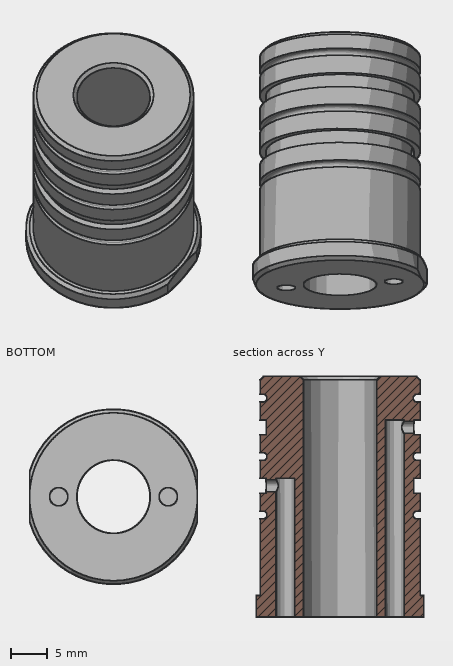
import cadquery as cq

length = 33.0
body_diameter = 22.0
bore_diameter = 10.0
edge_chamfer = 0.5

flange_diameter = 24.0
flange_height = 3.0
flange_across_flats = 23.0

wide_groove_floor_diameter = 20.3
wide_groove_width = 2.0
wide_groove_depths = (7.0, 15.0)
ring_groove_floor_diameter = 20.1
ring_groove_width = 1.0
ring_groove_depths = (3.0, 11.0, 19.0)

port_diameter = 1.6
channel_diameter = 2.5
channel_offset = 7.5
port_directions = (1, -1)

body_radius = body_diameter / 2


def make_flange():
    """Chamfered disc with two parallel flats facing -X and +X."""
    disc = cq.Workplane("XY").circle(flange_diameter / 2).extrude(flange_height)
    disc = disc.edges().chamfer(edge_chamfer)
    flats = cq.Workplane("XY").rect(flange_across_flats, flange_diameter).extrude(flange_height)
    return disc.intersect(flats)


def make_body():
    """Plain cylinder with a chamfered top rim."""
    body = cq.Workplane("XY").circle(body_radius).extrude(length)
    return body.faces(">Z").edges().chamfer(edge_chamfer)


def make_bore():
    """Through bore with a countersunk top mouth."""
    bore_radius = bore_diameter / 2
    mouth_radius = bore_radius + edge_chamfer
    return (
        cq.Workplane("XZ")
        .moveTo(0, 0)
        .lineTo(bore_radius, 0)
        .lineTo(bore_radius, length - edge_chamfer)
        .lineTo(mouth_radius, length)
        .lineTo(0, length)
        .close()
        .revolve(360, (0, 0, 0), (0, 1, 0))
    )


def make_wide_groove(centre_height):
    """Ring-shaped cutter with a flat floor."""
    outer_radius = flange_diameter / 2
    return (
        cq.Workplane("XY")
        .workplane(offset=centre_height - wide_groove_width / 2)
        .circle(outer_radius)
        .circle(wide_groove_floor_diameter / 2)
        .extrude(wide_groove_width)
    )


def make_ring_groove(centre_height):
    """Ring-shaped cutter with straight walls and a half-round floor."""
    half_width = ring_groove_width / 2
    outer_radius = flange_diameter / 2
    floor_radius = ring_groove_floor_diameter / 2
    arc_radius = floor_radius + half_width
    return (
        cq.Workplane("XZ")
        .moveTo(outer_radius, centre_height - half_width)
        .lineTo(arc_radius, centre_height - half_width)
        .threePointArc((floor_radius, centre_height), (arc_radius, centre_height + half_width))
        .lineTo(outer_radius, centre_height + half_width)
        .close()
        .revolve(360, (0, 0, 0), (0, 1, 0))
    )


def make_passage(port_height, direction):
    """Axial channel from the underside up to the groove's upper wall level, joined to a radial port."""
    channel_top = port_height + wide_groove_width / 2
    channel = (
        cq.Workplane("XY")
        .center(direction * channel_offset, 0)
        .circle(channel_diameter / 2)
        .extrude(channel_top)
    )
    port = (
        cq.Workplane("YZ")
        .workplane(offset=direction * channel_offset)
        .center(0, port_height)
        .circle(port_diameter / 2)
        .extrude(direction * (body_radius - channel_offset))
    )
    return channel.union(port)


result = make_body().union(make_flange()).cut(make_bore())
for depth in ring_groove_depths:
    result = result.cut(make_ring_groove(length - depth))
for depth, direction in zip(wide_groove_depths, port_directions):
    groove_height = length - depth
    result = result.cut(make_wide_groove(groove_height))
    result = result.cut(make_passage(groove_height, direction))